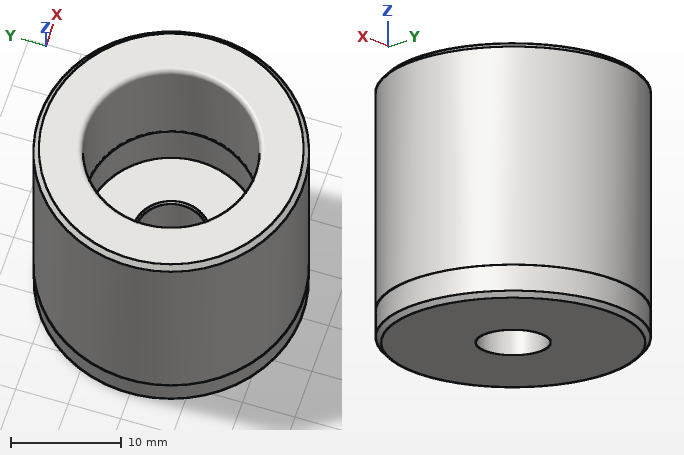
import cadquery as cq

outer_diameter = 25.0
height = 24.5
edge_chamfer = 0.5

band_height = 3.0
band_diameter = 24.95

bore_diameter = 16.0
bore_depth = 16.0
mouth_radius = 0.5

relief_diameter = 16.2
relief_start_depth = 11.0

hole_diameter = 6.8
hole_chamfer = 0.2


def make_body():
    """Cylinder on a slightly narrower band, chamfered at both ends."""
    band = cq.Workplane("XY").circle(band_diameter / 2).extrude(band_height)
    band = band.faces("<Z").edges().chamfer(edge_chamfer)
    sleeve = (
        cq.Workplane("XY", origin=(0, 0, band_height))
        .circle(outer_diameter / 2)
        .extrude(height - band_height)
    )
    sleeve = sleeve.faces(">Z").edges().chamfer(edge_chamfer)
    return band.union(sleeve)


def cut_bore(body):
    """Blind bore with its top edge rounded over."""
    bored = body.faces(">Z").workplane().hole(bore_diameter, bore_depth)
    mouth_edge = bored.faces(">Z").edges(cq.selectors.RadiusNthSelector(0))
    return mouth_edge.fillet(mouth_radius)


def cut_relief(body):
    """Widen the bore from the relief start down to the floor."""
    relief = (
        cq.Workplane("XY", origin=(0, 0, height - bore_depth))
        .circle(relief_diameter / 2)
        .extrude(bore_depth - relief_start_depth)
    )
    return body.cut(relief)


def cut_hole(body):
    """Through hole, countersunk lightly where it meets the bore floor."""
    floor_height = height - bore_depth
    hole_radius = hole_diameter / 2
    profile = (
        cq.Workplane("XZ")
        .lineTo(hole_radius, 0)
        .lineTo(hole_radius, floor_height - hole_chamfer)
        .lineTo(hole_radius + hole_chamfer, floor_height)
        .lineTo(0, floor_height)
        .close()
    )
    return body.cut(profile.revolve(360, (0, 0, 0), (0, 1, 0)))


result = cut_hole(cut_relief(cut_bore(make_body())))